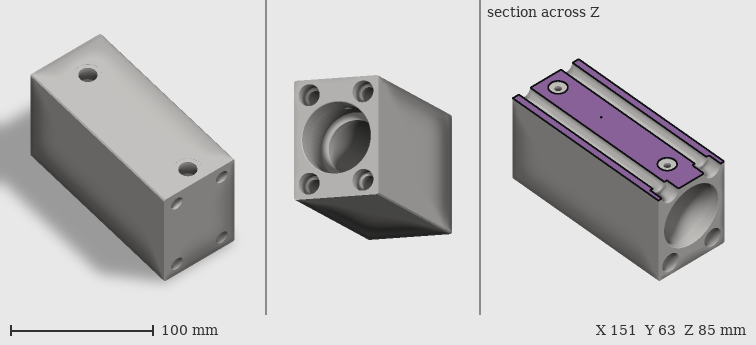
import cadquery as cq

length = 151.0
width = 63.0
height = 85.0
edge_chamfer = 1.0

bore_mouth_diameter = 51.0
bore_mouth_depth = 40.0
bore_diameter = 40.0
bore_depth = 136.2
bore_entry_chamfer = 0.53

bolt_spacing_y = 40.0
bolt_spacing_z = 63.1
bolt_hole_diameter = 10.5
bolt_counterbore_diameter = 15.5
bolt_counterbore_depth = 12.1

port_distances = (25.0, 138.0)
port_diameter = 13.5
port_depth = 12.1
spotface_diameter = 20.1
spotface_depth = 0.2
drill_diameter = 5.5


def cylinder_from_left_end(diameter, depth):
    """Cylinder running from the -X end into the block, on the block's axis."""
    left_end = cq.Workplane("YZ", origin=(-length / 2, 0, 0))
    return left_end.circle(diameter / 2).extrude(depth)


def cylinder_from_top(diameter, depth):
    """Cylinder running down from the top face at the -X end of the block."""
    top_face = cq.Workplane("XY", origin=(-length / 2, 0, height / 2))
    return top_face.circle(diameter / 2).extrude(-depth)


def make_block():
    return cq.Workplane("XY").box(length, width, height).edges("|X").chamfer(edge_chamfer)


def make_bore():
    mouth = cylinder_from_left_end(bore_mouth_diameter, bore_mouth_depth)
    chamber = cylinder_from_left_end(bore_diameter, bore_depth)
    entry = (
        cq.Workplane("YZ", origin=(-length / 2, 0, 0))
        .circle(bore_mouth_diameter / 2 + bore_entry_chamfer)
        .workplane(offset=bore_entry_chamfer)
        .circle(bore_mouth_diameter / 2)
        .loft()
    )
    return mouth.union(chamber).union(entry)


def make_bolt_hole():
    through_hole = cylinder_from_left_end(bolt_hole_diameter, length)
    counterbore = cylinder_from_left_end(bolt_counterbore_diameter, bolt_counterbore_depth)
    return through_hole.union(counterbore)


def make_port():
    spotface = cylinder_from_top(spotface_diameter, spotface_depth)
    port = cylinder_from_top(port_diameter, port_depth)
    bore_envelope = cylinder_from_left_end(bore_diameter, length).translate((-length / 2, 0, 0))
    drilling = cylinder_from_top(drill_diameter, height / 2).cut(bore_envelope)
    return spotface.union(port).union(drilling)


result = make_block().cut(make_bore())

for side_y in (-1, 1):
    for side_z in (-1, 1):
        bolt_position = (0, side_y * bolt_spacing_y / 2, side_z * bolt_spacing_z / 2)
        result = result.cut(make_bolt_hole().translate(bolt_position))

for distance in port_distances:
    result = result.cut(make_port().translate((distance, 0, 0)))